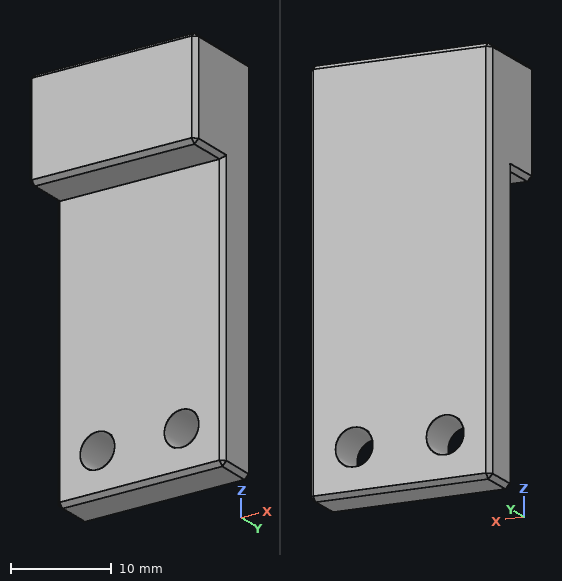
import cadquery as cq

WIDTH = 20.0
HEIGHT = 45.0
PLATE_THICKNESS = 5.0

HEAD_DEPTH = 10.0
HEAD_HEIGHT = 12.0

EDGE_CHAMFER = 0.5

HOLE_DIAMETER = 4.1
HOLE_SPACING = 10.0
HOLE_HEIGHT = 5.0


def make_body():
    """L-shaped side profile in the YZ plane, with every edge chamfered but the sharp inner corner."""
    head_underside = HEIGHT - HEAD_HEIGHT
    profile = [
        (0, 0),
        (0, HEIGHT),
        (-HEAD_DEPTH, HEIGHT),
        (-HEAD_DEPTH, head_underside),
        (-PLATE_THICKNESS, head_underside),
        (-PLATE_THICKNESS, 0),
    ]
    body = cq.Workplane("YZ").polyline(profile).close().extrude(WIDTH / 2, both=True)
    inner_corner = cq.selectors.NearestToPointSelector((0, -PLATE_THICKNESS, head_underside))
    outer_edges = cq.selectors.InverseSelector(inner_corner)
    return body.edges(outer_edges).chamfer(EDGE_CHAMFER)


def make_holes():
    """Pair of cylinders running through the plate thickness."""
    return (
        cq.Workplane("XZ")
        .pushPoints([(side * HOLE_SPACING / 2, HOLE_HEIGHT) for side in (-1, 1)])
        .circle(HOLE_DIAMETER / 2)
        .extrude(PLATE_THICKNESS)
    )


result = make_body().cut(make_holes())